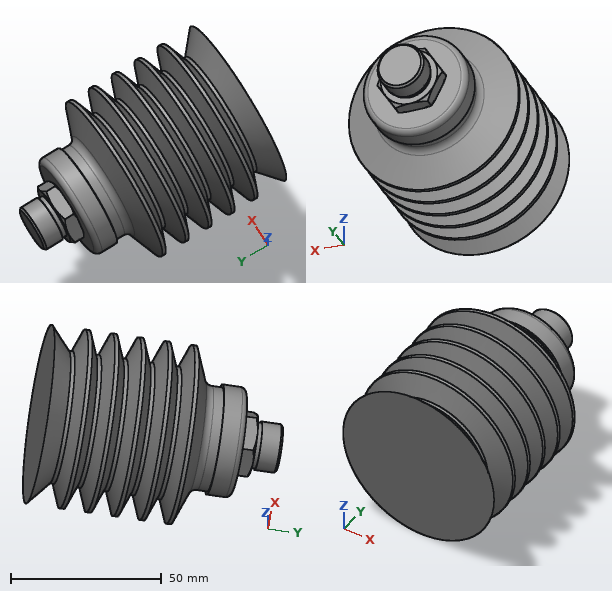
import cadquery as cq
import math

total_length = 81

rim_radius = 60.05 / 2
waist_radius = 44.65 / 2
lip_length = 6.8
fold_pitch = 9.0
fold_count = 5
rim_width = 1.4
waist_width = 1.4
cone_length = (fold_pitch - rim_width - waist_width) / 2

flare_end_radius = 38.7 / 2
neck_radius = 35.0 / 2
neck_flare_top = 55.75
collar_radius = 37.0 / 2
collar_bottom = 59.2
collar_top = 67.25
collar_round = 2.0

hex_flats = 20.0
hex_top = 72.2
hex_sink = 0.3
hex_bottom = collar_top - hex_sink
hex_turn = -2.8
hex_chamfer_angle = 30

stub_radius = 16.4 / 2
stub_bottom = 73.9
stub_chamfer = 0.7
undercut_radius = 15.5 / 2


def make_turned_body():
    """Revolve the half outline, starting at the sealing lip."""
    outline = cq.Workplane("XY").lineTo(rim_radius, 0)
    height = lip_length
    for _ in range(fold_count):
        outline = outline.lineTo(waist_radius, height)
        outline = outline.lineTo(waist_radius, height + waist_width)
        rim_bottom = height + waist_width + cone_length
        outline = outline.lineTo(rim_radius, rim_bottom)
        outline = outline.lineTo(rim_radius, rim_bottom + rim_width)
        height += fold_pitch

    bellows_top = height - cone_length
    fold_slope = cone_length / (rim_radius - waist_radius)
    flare_bottom = bellows_top + (rim_radius - flare_end_radius) * fold_slope
    flare_depth = neck_flare_top - flare_bottom
    flare_width = flare_end_radius - neck_radius
    flare_arc_radius = (flare_depth**2 + flare_width**2) / (2 * flare_width)

    outline = (
        outline.lineTo(flare_end_radius, flare_bottom)
        .radiusArc((neck_radius, neck_flare_top), flare_arc_radius)
        .lineTo(neck_radius, collar_bottom)
        .lineTo(collar_radius, collar_bottom)
        .lineTo(collar_radius, collar_top - collar_round)
        .radiusArc((collar_radius - collar_round, collar_top), -collar_round)
        .lineTo(undercut_radius, collar_top)
        .lineTo(undercut_radius, stub_bottom)
        .lineTo(stub_radius, stub_bottom)
        .lineTo(stub_radius, total_length - stub_chamfer)
        .lineTo(stub_radius - stub_chamfer, total_length)
        .lineTo(0, total_length)
        .close()
    )
    return outline.revolve(360, (0, 0), (0, 1))


def make_hexagon():
    """Make the hexagon with its corners bevelled by a cone at both ends."""
    corner_radius = hex_flats / math.sqrt(3)
    flat_radius = hex_flats / 2
    bevel_height = (corner_radius - flat_radius) * math.tan(math.radians(hex_chamfer_angle))
    prism = (
        cq.Workplane("XZ", origin=(0, hex_top, 0))
        .polygon(6, 2 * corner_radius)
        .extrude(hex_top - hex_bottom)
        .rotate((0, 0, 0), (0, 1, 0), -hex_turn)
    )
    bevel_envelope = (
        cq.Workplane("XY")
        .moveTo(0, hex_bottom)
        .lineTo(flat_radius, hex_bottom)
        .lineTo(corner_radius, hex_bottom + bevel_height)
        .lineTo(corner_radius, hex_top - bevel_height)
        .lineTo(flat_radius, hex_top)
        .lineTo(0, hex_top)
        .close()
        .revolve(360, (0, 0), (0, 1))
    )
    return prism.intersect(bevel_envelope)


result = make_turned_body().union(make_hexagon())